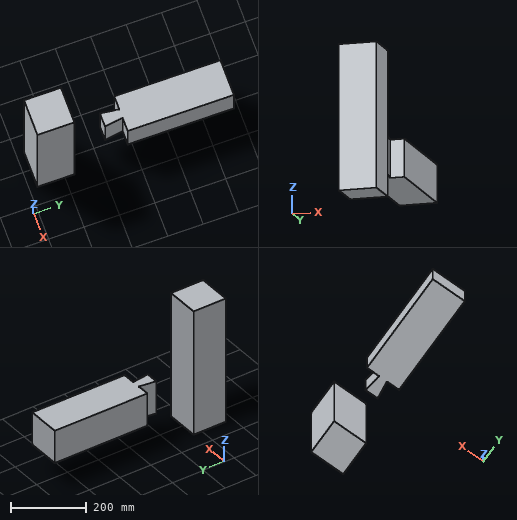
import cadquery as cq

TOTAL_DEPTH = 555.0
TIMBER_WIDTH = 105.0

POST_HEIGHT = 400.0

BEAM_BOTTOM = 90.0
BEAM_BODY_LENGTH = 300.0
DOVETAIL_LENGTH = 52.0
DOVETAIL_ROOT_WIDTH = 26.0
DOVETAIL_TIP_WIDTH = 40.0

BEAM_BACK = TOTAL_DEPTH
BEAM_SHOULDER = BEAM_BACK - BEAM_BODY_LENGTH
DOVETAIL_TIP = BEAM_SHOULDER - DOVETAIL_LENGTH


def make_post():
    """Plain square post, centred on X with its front face at Y = 0."""
    return cq.Workplane("XY").box(
        TIMBER_WIDTH, TIMBER_WIDTH, POST_HEIGHT, centered=(True, False, False)
    )


def make_beam():
    """Square beam along Y with a full-height dovetail facing the post."""
    half_width = TIMBER_WIDTH / 2
    half_root = DOVETAIL_ROOT_WIDTH / 2
    half_tip = DOVETAIL_TIP_WIDTH / 2
    outline = [
        (-half_width, BEAM_BACK),
        (-half_width, BEAM_SHOULDER),
        (-half_root, BEAM_SHOULDER),
        (-half_tip, DOVETAIL_TIP),
        (half_tip, DOVETAIL_TIP),
        (half_root, BEAM_SHOULDER),
        (half_width, BEAM_SHOULDER),
        (half_width, BEAM_BACK),
    ]
    return (
        cq.Workplane("XY")
        .workplane(offset=BEAM_BOTTOM)
        .polyline(outline)
        .close()
        .extrude(TIMBER_WIDTH)
    )


post = make_post()
beam = make_beam()

result = cq.Compound.makeCompound([post.val(), beam.val()])